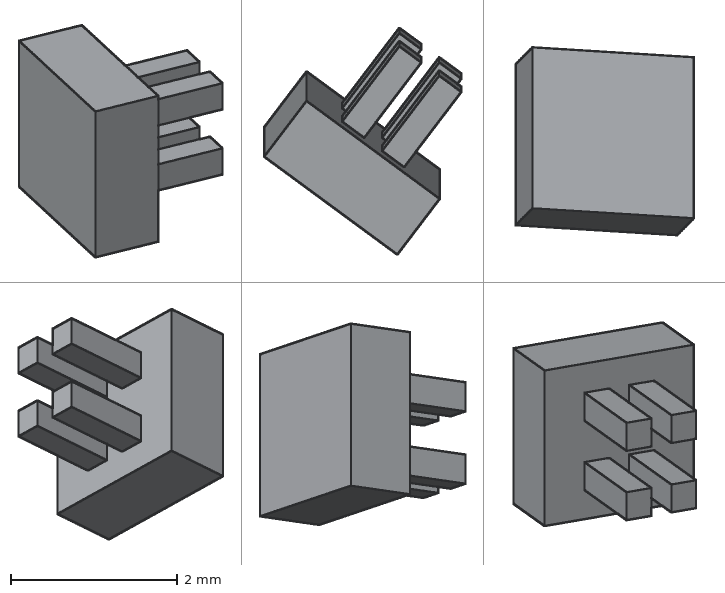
import cadquery as cq

side = 2.0
total_depth = 2.0
block_depth = 0.852

pin_width = 0.332
pin_height = 0.36
pin_pitch_x = 0.6
pin_pitch_z = 0.892
pin_length = total_depth - block_depth


def make_block():
    return cq.Workplane("XY").box(side, block_depth, side, centered=(True, False, True))


def make_pin(x, z):
    pin = cq.Workplane("XY").box(pin_width, pin_length, pin_height, centered=(True, False, True))
    return pin.translate((x, block_depth, z))


result = make_block()
for x in (-pin_pitch_x / 2, pin_pitch_x / 2):
    for z in (-pin_pitch_z / 2, pin_pitch_z / 2):
        result = result.union(make_pin(x, z))